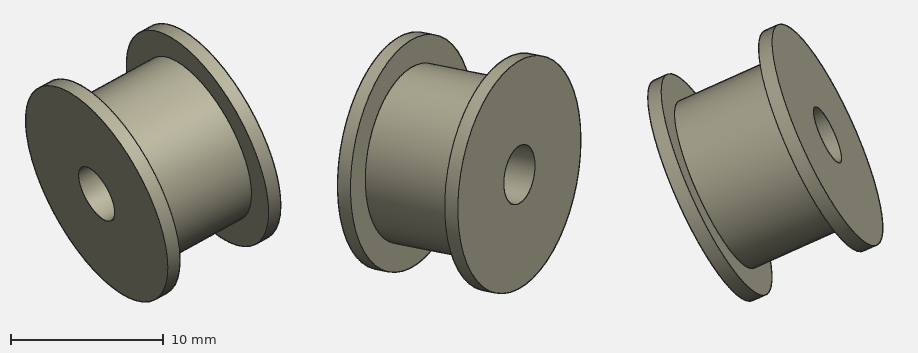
import cadquery as cq

flange_diameter = 15.8
drum_diameter = 12.0
bore_diameter = 4.0
overall_width = 9.15
flange_thickness = 1.0


def disc(diameter, width, start_y):
    """Solid cylinder along +Y, starting at start_y."""
    return (
        cq.Workplane("XZ", origin=(0, start_y, 0))
        .circle(diameter / 2)
        .extrude(-width)
    )


front_face_y = -overall_width / 2
rear_flange_y = overall_width / 2 - flange_thickness

drum = disc(drum_diameter, overall_width, front_face_y)
front_flange = disc(flange_diameter, flange_thickness, front_face_y)
rear_flange = disc(flange_diameter, flange_thickness, rear_flange_y)
bore = disc(bore_diameter, overall_width, front_face_y)

result = drum.union(front_flange).union(rear_flange).cut(bore)